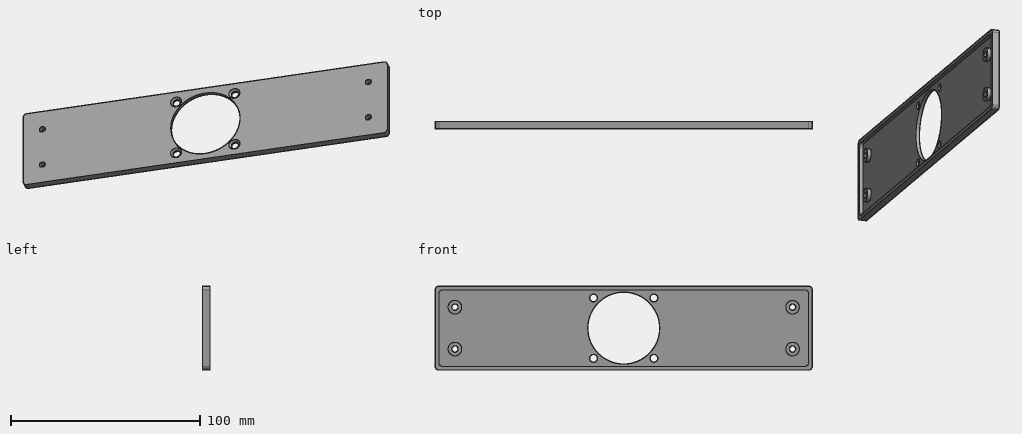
import cadquery as cq
import math

length = 199.6
thickness = 4.0
height = 44.5
corner_radius = 2.0

rim_width = 2.0
recess_depth = 2.0
recess_corner_radius = 2.0
floor_thickness = thickness - recess_depth

opening_diameter = 38.0
screw_hole_diameter = 4.0
screw_hole_spacing = 32.0
countersink_depth = 1.0
countersink_angle = 90.0

boss_diameter = 7.2
boss_hole_diameter = 3.2
boss_height = recess_depth
boss_spacing_x = 178.6
boss_spacing_z = 22.2


def upright_plane(distance_from_back):
    """Plane facing -Y, at the given distance in front of the back face."""
    return cq.Workplane("XZ", origin=(0, thickness / 2 - distance_from_back, 0))


def rounded_block(size_x, size_z, radius, start, depth):
    """Block with rounded upright corners, reaching from start toward -Y."""
    block = upright_plane(start).rect(size_x, size_z).extrude(depth)
    return block.edges("|Y").fillet(radius)


def cylinders(spacing_x, spacing_z, diameter, start, depth):
    """Four equal cylinders on the corners of a centred rectangle."""
    corners = upright_plane(start).rect(spacing_x, spacing_z, forConstruction=True).vertices()
    return corners.circle(diameter / 2).extrude(depth)


plate = rounded_block(length, height, corner_radius, 0, thickness)
recess = rounded_block(
    length - 2 * rim_width,
    height - 2 * rim_width,
    recess_corner_radius,
    floor_thickness,
    recess_depth,
)
bosses = cylinders(boss_spacing_x, boss_spacing_z, boss_diameter, floor_thickness, boss_height)
opening = upright_plane(0).circle(opening_diameter / 2).extrude(thickness)
screw_holes = cylinders(screw_hole_spacing, screw_hole_spacing, screw_hole_diameter, 0, thickness)
countersink_growth = countersink_depth * math.tan(math.radians(countersink_angle / 2))
countersinks = (
    upright_plane(0)
    .rect(screw_hole_spacing, screw_hole_spacing, forConstruction=True)
    .vertices()
    .circle(screw_hole_diameter / 2 + countersink_growth)
    .extrude(countersink_depth, taper=countersink_angle / 2)
)
boss_holes = cylinders(
    boss_spacing_x, boss_spacing_z, boss_hole_diameter, 0, floor_thickness + boss_height
)

result = plate.cut(recess).union(bosses).cut(opening).cut(screw_holes).cut(countersinks).cut(boss_holes)